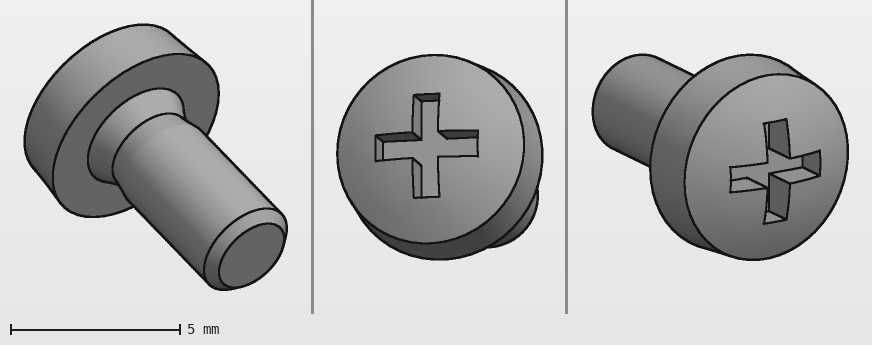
import cadquery as cq
import math

total_length = 8.37

head_height = 2.385
head_radius = 6.0 / 2
dome_rim_radius = 2.845
dome_rim_x = 0.7

neck_top_radius = 1.73
neck_lip_radius = 1.7
neck_lip_length = 0.05
waist_radius = 1.36
waist_x = 3.12
shank_start_x = 3.875

shank_radius = 3.0 / 2
tip_chamfer = 0.32

recess_span = 3.11
recess_width = 0.78
recess_floor_x = 1.17

corner_radius = recess_width / math.sqrt(2)
dome_center_x = (dome_rim_x**2 + dome_rim_radius**2 - corner_radius**2) / (2 * dome_rim_x)
dome_radius = math.hypot(dome_center_x, corner_radius)
apex_x = dome_center_x - dome_radius


def dome_x(radius):
    """Axial position of the dome surface at a distance from the axis."""
    return dome_center_x - math.sqrt(dome_radius**2 - radius**2)


def make_body():
    """Revolve the half profile of head, neck and shank about the X axis."""
    mid_radius = dome_rim_radius / 2
    profile = (
        cq.Workplane("XY")
        .moveTo(apex_x, 0)
        .threePointArc((dome_x(mid_radius), mid_radius), (dome_rim_x, dome_rim_radius))
        .lineTo(head_height, head_radius)
        .lineTo(head_height, neck_top_radius)
        .lineTo(head_height + neck_lip_length, neck_lip_radius)
        .lineTo(waist_x, waist_radius)
        .lineTo(shank_start_x, shank_radius)
        .lineTo(total_length - tip_chamfer, shank_radius)
        .lineTo(total_length, shank_radius - tip_chamfer)
        .lineTo(total_length, 0)
        .close()
    )
    return profile.revolve(360, (0, 0, 0), (1, 0, 0))


def make_recess():
    """Two crossed bars reaching from the dome apex to the recess floor."""
    depth = recess_floor_x - apex_x
    across_y = cq.Workplane("YZ", origin=(apex_x, 0, 0)).rect(recess_span, recess_width).extrude(depth)
    across_z = across_y.rotate((0, 0, 0), (1, 0, 0), 90)
    return across_y.union(across_z)


result = make_body().cut(make_recess())